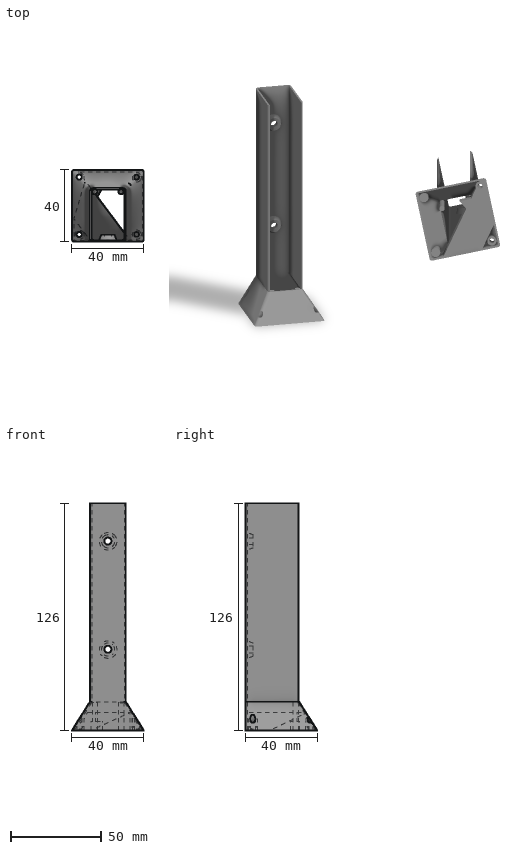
import cadquery as cq

base_side = 40.0
total_height = 126
base_height = 15.9
base_corner_radius = 1.5

tube_width = 20.0
tube_depth = 29.9
tube_corner_radius = 2.0
wall = 1.0
front_y = -base_side / 2
tube_center_y = front_y + tube_depth / 2
back_y = front_y + tube_depth

screw_diameter = 2.8
screw_offset = 15.9
blind_floor_z = 1.0
cross_hole_diameter = 3.8
cross_hole_heights = (45.0, 105.0)

boss_base_diameter = 9.7
boss_tip_diameter = 7.3
boss_length = 3.0

screw_post_diameter = 5
web_start = (-5.8, 4.9)
web_end = (9.0, -14.7)
web_height = 10.1
web_reach = 17.6
pin_diameter = 2.9
pin_x = 7.3
pin_y = 7.8
gusset_right = -3.0
gusset_height = 5


def rounded_outline(width, depth, radius, center_y, z):
    """Closed rounded rectangle lying at height z."""
    sketch = cq.Sketch().rect(width, depth).vertices().fillet(radius)
    return sketch.moved(cq.Location(cq.Vector(0, center_y, z)))


def flared_block(inset):
    """Foot shape tapering from the square base to the channel, shrunk all round by inset."""
    bottom = rounded_outline(
        base_side - 2 * inset, base_side - 2 * inset, base_corner_radius - inset, 0, 0
    )
    top = rounded_outline(
        tube_width - 2 * inset, tube_depth - 2 * inset, tube_corner_radius - inset,
        tube_center_y, base_height,
    )
    return cq.Workplane().placeSketch(bottom, top).loft()


def channel():
    """Tall thin-walled tube with its rear wall removed."""
    height = total_height - base_height
    outer = rounded_outline(tube_width, tube_depth, tube_corner_radius, tube_center_y, base_height)
    inner = rounded_outline(
        tube_width - 2 * wall, tube_depth - 2 * wall, tube_corner_radius - wall,
        tube_center_y, base_height,
    )
    tube = cq.Workplane().placeSketch(outer).extrude(height)
    tube = tube.cut(cq.Workplane().placeSketch(inner).extrude(height))
    rear_opening = (
        cq.Workplane(origin=(0, back_y, base_height))
        .rect(tube_width - 2 * wall, 4 * wall)
        .extrude(height)
    )
    return tube.cut(rear_opening)


def screw_holes(x, floor_z):
    """Pair of vertical screw holes at one side of the foot."""
    return (
        cq.Workplane(origin=(0, 0, floor_z))
        .pushPoints([(x, -screw_offset), (x, screw_offset)])
        .circle(screw_diameter / 2)
        .extrude(base_height)
    )


def cross_holes():
    """Holes through the front wall of the channel."""
    return (
        cq.Workplane("XZ", origin=(0, front_y + wall + boss_length, 0))
        .pushPoints([(0, z) for z in cross_hole_heights])
        .circle(cross_hole_diameter / 2)
        .extrude(2 * wall + boss_length)
    )


def screw_posts():
    """Solid posts that carry the screw holes up to the sloping foot walls."""
    posts = (
        cq.Workplane()
        .rect(2 * screw_offset, 2 * screw_offset, forConstruction=True)
        .vertices()
        .circle(screw_post_diameter / 2)
        .extrude(base_height)
    )
    return posts.intersect(flared_block(wall / 2))


def cross_hole_bosses():
    """Tapered bosses behind the cross holes, narrowing into the channel."""
    bosses = cq.Workplane()
    for z in cross_hole_heights:
        cone = cq.Solid.makeCone(
            boss_base_diameter / 2, boss_tip_diameter / 2, boss_length,
            pnt=cq.Vector(0, front_y + wall, z), dir=cq.Vector(0, 1, 0),
        )
        bosses = bosses.add(cone)
    return bosses.combine()


def diagonal_web():
    """Wedge across one front corner of the foot, sloping down toward that corner."""
    run_x = web_end[0] - web_start[0]
    run_y = web_end[1] - web_start[1]
    along = cq.Vector(run_x, run_y, 0)
    toward_corner = cq.Vector(run_y, -run_x, 0)
    section_plane = cq.Plane(origin=(*web_start, 0), xDir=toward_corner, normal=along)
    wedge = (
        cq.Workplane(section_plane)
        .polyline([(0, 0), (web_reach, 0), (0, -web_height)])
        .close()
        .extrude(base_side, both=True)
    )
    return wedge.intersect(flared_block(wall / 2))


def rear_supports():
    """Round pins in the rear corners of the opening and a gusset beside the left one."""
    pins = (
        cq.Workplane()
        .pushPoints([(-pin_x, pin_y), (pin_x, pin_y)])
        .circle(pin_diameter / 2)
        .extrude(base_height)
    )
    gusset_left = -tube_width / 2
    gusset = (
        cq.Workplane()
        .polyline([
            (gusset_left, back_y),
            (gusset_right, back_y),
            web_start,
            (gusset_left, web_start[1]),
        ])
        .close()
        .extrude(gusset_height)
    )
    return pins.union(gusset)


foot = flared_block(0).cut(flared_block(wall))
foot = foot.union(screw_posts()).union(diagonal_web()).union(rear_supports())
result = foot.union(channel()).union(cross_hole_bosses()).cut(cross_holes())
result = result.cut(screw_holes(-screw_offset, 0)).cut(screw_holes(screw_offset, blind_floor_z))